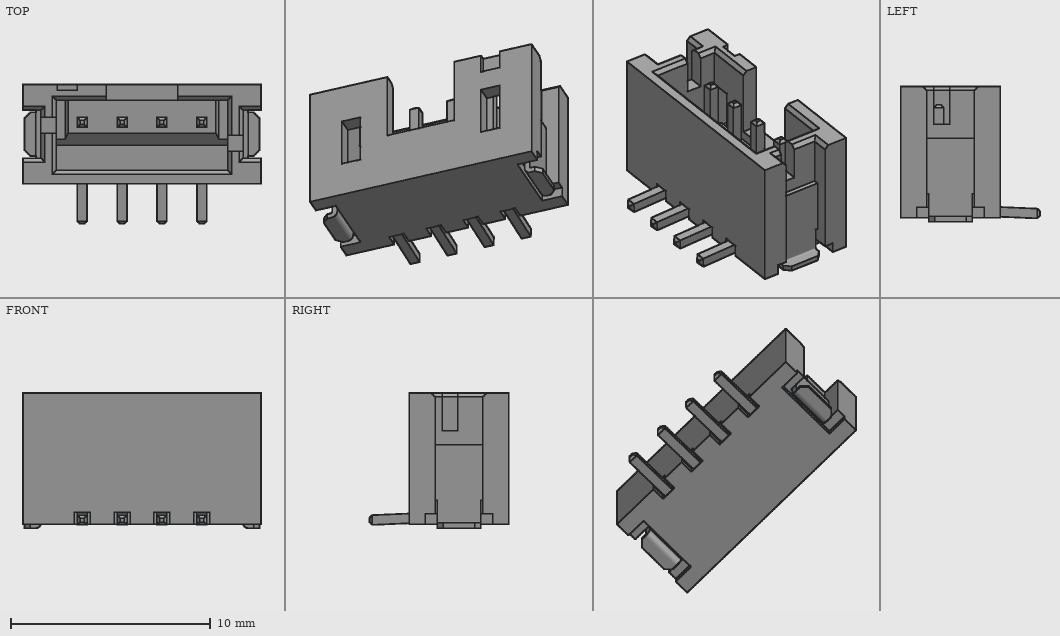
import cadquery as cq
import math


LENGTH = 11.95
DEPTH = 5.0
HEIGHT = 6.6
RIM_CHAMFER = 0.2
FRONT = -DEPTH / 2
BACK = DEPTH / 2

CAVITY_LENGTH = 8.59
FRONT_WALL = 0.7
BACK_WALL = 0.8
CAVITY_END = CAVITY_LENGTH / 2
CAVITY_FRONT = FRONT + FRONT_WALL
CAVITY_BACK = BACK - BACK_WALL
FLOOR_Z = 1.9

BLOCK_HEIGHT = 0.6
SHOULDER_HEIGHT = 0.3
BLOCK_TOP_Z = FLOOR_Z + BLOCK_HEIGHT
SHOULDER_Z = FLOOR_Z + SHOULDER_HEIGHT
BLOCK_TOP_FRONT = 0.05
BLOCK_FOOT_FRONT = BLOCK_TOP_FRONT - BLOCK_HEIGHT
BLOCK_TOP_HALF_LENGTH = 3.71
BLOCK_FOOT_HALF_LENGTH = 3.86

KEYWAY_LENGTH = 3.6
KEYWAY_FLOOR_Z = 3.0
END_SLOT_WIDTH = 0.8
END_SLOT_DEPTH = 1.9
END_SLOT_OFFSET = 0.45
WINDOW_LENGTH = 1.0
WINDOW_X = 3.75
WINDOW_BOTTOM_Z = FLOOR_Z
WINDOW_TOP_Z = 4.5
MARK_LENGTH = 1.0
MARK_DEPTH = 0.3
MARK_HEIGHT = 1.0

RECESS_WIDTH = 2.4
RECESS_FLOOR_X = 5.325
UPPER_RECESS_FLOOR_X = 5.07
UPPER_RECESS_Z = 4.0
FOOT_NOTCH_WIDTH = 3.37
FOOT_NOTCH_HEIGHT = 0.53
FOOT_NOTCH_FLOOR_X = 4.9

CLIP_WIDTH = 2.2
CLIP_THICKNESS = 0.27
CLIP_TOP_Z = 1.22
CLIP_BOTTOM_Z = -0.2
CLIP_TIP_X = 5.9
CLIP_INNER_RADIUS = 0.08
CLIP_OUTER_RADIUS = 0.3
CLIP_CORNER = 0.3

PIN_COUNT = 4
PIN_PITCH = 2.0
PIN_SIZE = 0.5
PIN_TIP_CHAMFER = 0.15
PIN_LEG_DROOP = 2.5
PIN_BEND_Y = 0.59
PIN_BEND_Z = 0.435
PIN_TOP_Z = 5.68
PIN_REACH_Y = -4.5
PIN_SLOT_WIDTH = 0.8
PIN_SLOT_HEIGHT = 0.6

SIDES = (-1, 1)


def box(x_range, y_range, z_range):
    """Axis-aligned box between pairs of limits, each given in either order."""
    limits = [sorted(pair) for pair in (x_range, y_range, z_range)]
    sizes = [high - low for low, high in limits]
    corner = [low for low, high in limits]
    return cq.Workplane("XY").box(*sizes, centered=False).translate(tuple(corner))


def centred(middle, size):
    """Limits of a span of the given size about its middle."""
    return (middle - size / 2, middle + size / 2)


def flared_pocket(x_range, y_range, floor_z):
    """Cutter for a pocket open at the housing top, widening by the rim chamfer."""
    pocket = box(x_range, y_range, (floor_z, HEIGHT))
    x_low, x_high = sorted(x_range)
    y_low, y_high = sorted(y_range)
    x_size = x_high - x_low
    y_size = y_high - y_low
    mouth = (
        cq.Workplane("XY", origin=((x_low + x_high) / 2, (y_low + y_high) / 2, HEIGHT))
        .rect(x_size + 2 * RIM_CHAMFER, y_size + 2 * RIM_CHAMFER)
        .workplane(offset=-RIM_CHAMFER)
        .rect(x_size, y_size)
        .loft(ruled=True)
    )
    return pocket.union(mouth)


def pin_block():
    """Raised block on the cavity floor, with its lower end shoulders."""
    block = (
        cq.Workplane("YZ", origin=(-CAVITY_END, 0, 0))
        .moveTo(CAVITY_BACK, FLOOR_Z)
        .lineTo(BLOCK_FOOT_FRONT, FLOOR_Z)
        .lineTo(BLOCK_TOP_FRONT, BLOCK_TOP_Z)
        .lineTo(CAVITY_BACK, BLOCK_TOP_Z)
        .close()
        .extrude(2 * CAVITY_END)
    )
    for side in SIDES:
        shoulder_cut = (
            cq.Workplane("XZ", origin=(0, CAVITY_BACK, 0))
            .moveTo(side * BLOCK_TOP_HALF_LENGTH, BLOCK_TOP_Z)
            .lineTo(side * BLOCK_FOOT_HALF_LENGTH, SHOULDER_Z)
            .lineTo(side * CAVITY_END, SHOULDER_Z)
            .lineTo(side * CAVITY_END, BLOCK_TOP_Z)
            .close()
            .extrude(CAVITY_BACK - FRONT)
        )
        block = block.cut(shoulder_cut)
    return block


def cut_cavity(body):
    body = body.cut(
        flared_pocket((-CAVITY_END, CAVITY_END), (CAVITY_FRONT, CAVITY_BACK), FLOOR_Z)
    )
    return body.union(pin_block())


def cut_back_wall(body):
    wall = (CAVITY_BACK, BACK)
    body = body.cut(box(centred(0, KEYWAY_LENGTH), wall, (KEYWAY_FLOOR_Z, HEIGHT)))
    for side in SIDES:
        window_x = centred(side * WINDOW_X, WINDOW_LENGTH)
        body = body.cut(box(window_x, wall, (WINDOW_BOTTOM_Z, WINDOW_TOP_Z)))
    mark_x = centred(-WINDOW_X, MARK_LENGTH)
    return body.cut(box(mark_x, (BACK - MARK_DEPTH, BACK), (HEIGHT - MARK_HEIGHT, HEIGHT)))


def cut_end(body, side):
    """Recess, top slot and foot notch of one end wall."""
    outside = side * LENGTH
    recess_y = centred(0, RECESS_WIDTH)
    notch_y = centred(0, FOOT_NOTCH_WIDTH)
    clip_back_x = side * (RECESS_FLOOR_X - CLIP_THICKNESS)
    body = body.cut(box((side * RECESS_FLOOR_X, outside), recess_y, (0, HEIGHT)))
    body = body.cut(flared_pocket((side * UPPER_RECESS_FLOOR_X, outside), recess_y, UPPER_RECESS_Z))
    body = body.cut(box((clip_back_x, outside), recess_y, (0, CLIP_TOP_Z)))
    body = body.cut(box((side * FOOT_NOTCH_FLOOR_X, outside), notch_y, (0, FOOT_NOTCH_HEIGHT)))
    slot_y = centred(-side * END_SLOT_OFFSET, END_SLOT_WIDTH)
    slot_z = (HEIGHT - END_SLOT_DEPTH, HEIGHT)
    return body.cut(box((side * CAVITY_END, outside), slot_y, slot_z))


def pin_positions():
    first = -(PIN_COUNT - 1) * PIN_PITCH / 2
    return [first + index * PIN_PITCH for index in range(PIN_COUNT)]


def cut_pin_slots(body):
    for x in pin_positions():
        slot_x = centred(x, PIN_SLOT_WIDTH)
        body = body.cut(box(slot_x, (FRONT, CAVITY_FRONT), (0, PIN_SLOT_HEIGHT)))
    return body


def pin(x):
    """Square pin: a vertical contact bent forward into a slightly drooping leg."""
    pin_x = centred(x, PIN_SIZE)
    upright_y = centred(PIN_BEND_Y, PIN_SIZE)
    leg_z = centred(PIN_BEND_Z, PIN_SIZE)
    upright = box(pin_x, upright_y, (leg_z[0], PIN_TOP_Z)).faces(">Z").chamfer(PIN_TIP_CHAMFER)
    droop = math.radians(PIN_LEG_DROOP)
    leg_length = (PIN_BEND_Y - PIN_REACH_Y) / math.cos(droop)
    leg_y = (PIN_BEND_Y - leg_length, PIN_BEND_Y)
    leg = box(pin_x, leg_y, leg_z).faces("<Y").chamfer(PIN_TIP_CHAMFER)
    bend = (x, PIN_BEND_Y, PIN_BEND_Z)
    beyond_bend = (x + 1, PIN_BEND_Y, PIN_BEND_Z)
    return upright.union(leg.rotate(bend, beyond_bend, PIN_LEG_DROOP))


def clip(side):
    """Solder clip: an upright strip bent outward into a flat foot."""
    back_x = RECESS_FLOOR_X - CLIP_THICKNESS
    foot_top_z = CLIP_BOTTOM_Z + CLIP_THICKNESS
    corner_gap = 1 - math.sqrt(0.5)
    outer_gap = corner_gap * CLIP_OUTER_RADIUS
    inner_gap = corner_gap * CLIP_INNER_RADIUS
    strip = (
        cq.Workplane("XZ", origin=(0, CLIP_WIDTH / 2, 0))
        .moveTo(back_x, CLIP_TOP_Z)
        .lineTo(back_x, CLIP_BOTTOM_Z + CLIP_OUTER_RADIUS)
        .threePointArc(
            (back_x + outer_gap, CLIP_BOTTOM_Z + outer_gap),
            (back_x + CLIP_OUTER_RADIUS, CLIP_BOTTOM_Z),
        )
        .lineTo(CLIP_TIP_X, CLIP_BOTTOM_Z)
        .lineTo(CLIP_TIP_X, foot_top_z)
        .lineTo(RECESS_FLOOR_X + CLIP_INNER_RADIUS, foot_top_z)
        .threePointArc(
            (RECESS_FLOOR_X + inner_gap, foot_top_z + inner_gap),
            (RECESS_FLOOR_X, foot_top_z + CLIP_INNER_RADIUS),
        )
        .lineTo(RECESS_FLOOR_X, CLIP_TOP_Z)
        .close()
        .extrude(CLIP_WIDTH)
        .edges("|Z and >X")
        .chamfer(CLIP_CORNER)
    )
    return strip if side > 0 else strip.mirror("YZ")


def housing():
    body = box(centred(0, LENGTH), centred(0, DEPTH), (0, HEIGHT))
    body = cut_cavity(body)
    body = cut_back_wall(body)
    for side in SIDES:
        body = cut_end(body, side)
    return cut_pin_slots(body)


part = housing()
for pin_x_position in pin_positions():
    part = part.union(pin(pin_x_position))
for end_side in SIDES:
    part = part.union(clip(end_side))

result = part